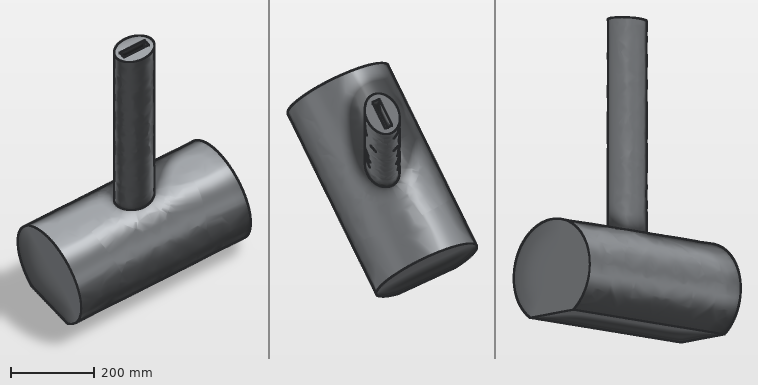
import cadquery as cq

total_height = 748.0
head_length = 498.0
head_width = 269.5

head_radius_x = head_width / 2
head_radius_z = 127.0
head_height = 232.0
head_center_z = head_height - head_radius_z

handle_width = 79.0
handle_depth = 105.5

slot_width = 19.0
slot_length = 72.5
slot_depth = 112.0
slot_end_taper = 4.1


def make_head():
    """Elliptical log along Y, trimmed by the plane Z = 0."""
    log = (
        cq.Workplane("XZ", origin=(0, head_length / 2, head_center_z))
        .ellipse(head_radius_x, head_radius_z)
        .extrude(head_length)
    )
    space_above_flat = cq.Workplane("XY").box(
        head_width * 2, head_length * 2, total_height, centered=(True, True, False)
    )
    return log.intersect(space_above_flat)


def make_handle():
    """Upright elliptical handle rooted at the middle of the head."""
    return (
        cq.Workplane("XY", origin=(0, 0, head_center_z))
        .ellipse(handle_width / 2, handle_depth / 2)
        .extrude(total_height - head_center_z)
    )


def slot_cutter():
    """Narrow block sunk from the handle end, shorter at its floor than at its mouth."""
    slot_end_y = slot_length / 2
    floor_z = total_height - slot_depth
    side_profile = [
        (-slot_end_y, total_height),
        (slot_end_y, total_height),
        (slot_end_y - slot_end_taper, floor_z),
        (-slot_end_y + slot_end_taper, floor_z),
    ]
    return (
        cq.Workplane("YZ", origin=(-slot_width / 2, 0, 0))
        .polyline(side_profile)
        .close()
        .extrude(slot_width)
    )


result = make_head().union(make_handle()).cut(slot_cutter())